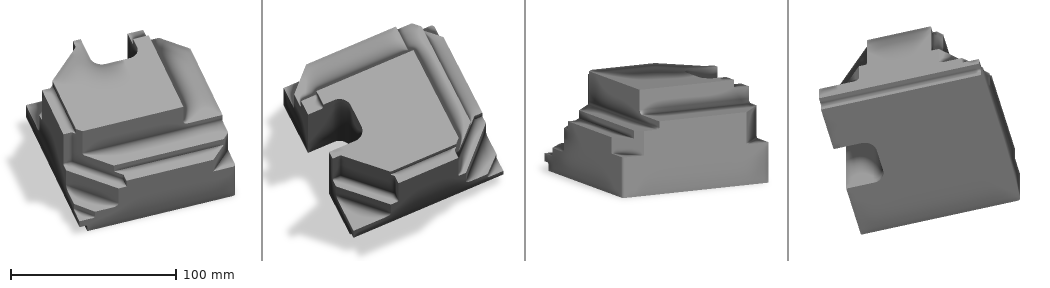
import cadquery as cq

side = 100.0
height = 60.0

large_radius = 2.5
small_radius = large_radius / 2

overrun = 0.2

right_step_x, right_step_z = 75.0, 40.0
edge_step_x, edge_step_z = 90.0, 35.0
back_step_y, back_step_z = 75.0, 45.0
front_lip_depth, front_lip_z = 7.3, 56.0
undercut_depth, undercut_height = 5.0, 5.0
left_step_depth, left_step_z = 10.2, 55.0

slot_depth, slot_width, slot_radius = 25.0, 30.0, 7.5

upper_reach, upper_shoulder, upper_floor = 30.0, 5.4, 30.0
lower_leg, lower_floor = 25.0, 15.0
tip_leg_x, tip_leg_y, tip_floor = 10.6, 9.9, 10.0
tip_radius = 1.0

back_left_leg, back_left_radius = 15.0, 0.8
back_right_leg = 14.4
back_pocket_floor = 25.0
back_right_edge_radius = 2.0


def box(x_range, y_range, z_range):
    """Box spanning the given coordinate ranges."""
    (x0, x1), (y0, y1), (z0, z1) = x_range, y_range, z_range
    return cq.Workplane("XY").box(x1 - x0, y1 - y0, z1 - z0, centered=False).translate((x0, y0, z0))


def prism(outline, floor):
    """Vertical cutter from a floor level up to the top of the block."""
    return cq.Workplane("XY").workplane(offset=floor).polyline(outline).close().extrude(height - floor)


def triangle_cutter(leg_x, leg_y, floor, radius=0):
    """Diagonal corner cutter at the origin, its wall blended into its floor if a radius is given."""
    over_x = overrun * leg_x
    over_y = overrun * leg_y
    outline = [(-over_x, -over_y), (leg_x + over_x, -over_y), (-over_x, leg_y + over_y)]
    cutter = prism(outline, floor)
    if radius:
        middle = (leg_x / 2, leg_y / 2, floor)
        cutter = cutter.edges(cq.NearestToPointSelector(middle)).fillet(radius)
    return cutter


def upper_corner_cutter(round_side_shoulder):
    """Diagonal cutter at the origin with a square shoulder at each end.

    The shoulder facing the front side is always blended; the one by the X side is optional.
    """
    over = 2 * large_radius
    outline = [
        (-over, -over),
        (upper_reach, -over),
        (upper_reach, upper_shoulder),
        (upper_shoulder, upper_reach),
        (-over, upper_reach),
    ]
    cutter = prism(outline, upper_floor)
    wall_middle = (upper_reach + upper_shoulder) / 2
    mid_height = (upper_floor + height) / 2
    blended_edges = [
        (upper_reach, upper_shoulder, mid_height),
        (upper_reach, 0, upper_floor),
        (wall_middle, wall_middle, upper_floor),
    ]
    if round_side_shoulder:
        blended_edges += [(upper_shoulder, upper_reach, mid_height), (0, upper_reach, upper_floor)]
    edges = [cutter.edges(cq.NearestToPointSelector(point)).val() for point in blended_edges]
    return cutter.newObject(edges).fillet(small_radius)


def at_right(cutter):
    """Mirror a left corner cutter to the right side."""
    return cutter.mirror("YZ").translate((side, 0, 0))


def at_back(cutter):
    """Mirror a front corner cutter to the back side."""
    return cutter.mirror("XZ").translate((0, side, 0))


body = box((0, side), (0, side), (0, height)).edges(">X and >Y").fillet(back_right_edge_radius)

right_step = box((right_step_x, side), (0, side), (right_step_z, height))
body = body.cut(right_step.edges("<X and <Z").fillet(small_radius))
body = body.cut(box((edge_step_x, side), (0, side), (edge_step_z, height)))

back_step = box((0, side), (back_step_y, side), (back_step_z, height))
body = body.cut(back_step.edges("<Y and <Z").fillet(large_radius))

body = body.cut(box((0, side), (0, front_lip_depth), (front_lip_z, height)))
undercut = box((0, side), (0, undercut_depth), (0, undercut_height))
body = body.cut(undercut.edges(">Y and >Z").fillet(small_radius))

slot_start, slot_end = (side - slot_width) / 2, (side + slot_width) / 2
slot = box((0, slot_depth), (slot_start, slot_end), (0, height))
body = body.cut(slot.edges("|Z and >X").fillet(slot_radius))
left_step = box((0, left_step_depth), (slot_end, back_step_y), (left_step_z, height))
body = body.cut(left_step.edges(">X and <Z").fillet(small_radius))

body = body.cut(upper_corner_cutter(round_side_shoulder=True))
body = body.cut(at_right(upper_corner_cutter(round_side_shoulder=False)))
lower_cutter = triangle_cutter(lower_leg, lower_leg, lower_floor, large_radius)
body = body.cut(lower_cutter).cut(at_right(lower_cutter))
body = body.cut(at_right(triangle_cutter(tip_leg_x, tip_leg_y, tip_floor, tip_radius)))

body = body.cut(at_back(triangle_cutter(back_left_leg, back_left_leg, back_pocket_floor, back_left_radius)))
body = body.cut(at_right(at_back(triangle_cutter(back_right_leg, back_right_leg, back_pocket_floor))))

result = body